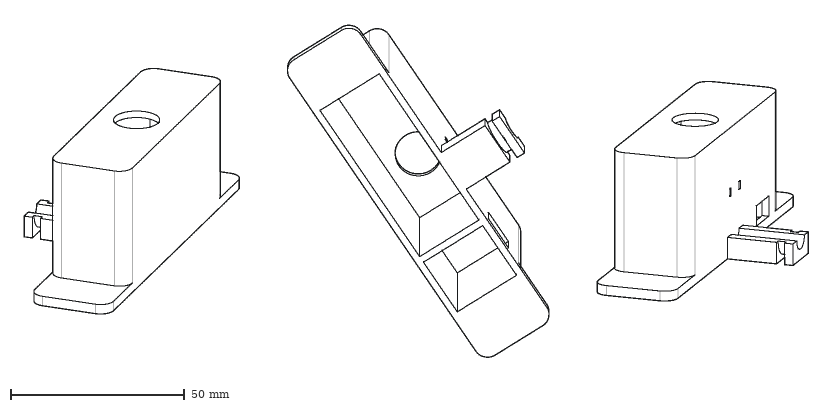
import cadquery as cq

length = 106.8
width = 24.5
height = 38.9
flange_length = 15.0
base_thickness = 3.0
corner_radius = 4.1
wall = 2.0
box_length = length - 2 * flange_length

roof_hole_diameter = 13.4

arm_length = 20.1
arm_width = 13.2
arm_height = 6.5
channel_radius = 3.3
groove_radius = 5.2
groove_offset = 2.6
groove_width = 2.5

window_length = 10.5
window_height = 6.1
window_center_y = -23.7

slot_length = 1.1
slot_height = 2.3
slot_spacing = 7.8
slot_bottom = 18.2

wall_face_x = -width / 2


def block(size_x, size_y, size_z):
    """Box centered in X and Y, standing on Z = 0."""
    return cq.Workplane("XY").box(size_x, size_y, size_z, centered=(True, True, False))


def rounded_block(size_y, size_z):
    return block(width, size_y, size_z).edges("|Z").fillet(corner_radius)


def arm_cylinder(radius, start_x, cylinder_length):
    """Cylinder along X on the axis of the arm, which lies in its top face."""
    return (
        cq.Workplane("YZ", origin=(start_x, 0, arm_height))
        .circle(radius)
        .extrude(cylinder_length)
    )


def wall_opening(center_y, bottom, opening_length, opening_height):
    """Cutter that passes through the -X wall only."""
    return block(wall, opening_length, opening_height).translate(
        (wall_face_x + wall / 2, center_y, bottom)
    )


def partition():
    """Full-height cross wall, flush with the +Y side of the window."""
    partition_center_y = window_center_y + window_length / 2 + wall / 2
    return block(width, wall, height).translate((0, partition_center_y, 0))


def make_enclosure():
    shell = rounded_block(length, base_thickness).union(rounded_block(box_length, height))
    cavity = block(width - 2 * wall, box_length - 2 * wall, height - wall)
    cavity = cavity.cut(partition())
    roof_hole = cq.Workplane("XY").circle(roof_hole_diameter / 2).extrude(height)
    shell = shell.cut(cavity).cut(roof_hole)
    shell = shell.cut(wall_opening(window_center_y, base_thickness, window_length, window_height))
    for side in (-1, 1):
        shell = shell.cut(wall_opening(side * slot_spacing / 2, slot_bottom, slot_length, slot_height))
    return shell


def make_arm():
    tip_x = wall_face_x - arm_length
    groove_x = tip_x + groove_offset
    arm = block(arm_length, arm_width, arm_height).translate((tip_x + arm_length / 2, 0, 0))
    groove = block(groove_width, arm_width, arm_height).translate((groove_x + groove_width / 2, 0, 0))
    groove = groove.cut(arm_cylinder(groove_radius, groove_x, groove_width))
    channel = arm_cylinder(channel_radius, tip_x, arm_length)
    return arm.cut(groove).cut(channel)


result = make_enclosure().union(make_arm())